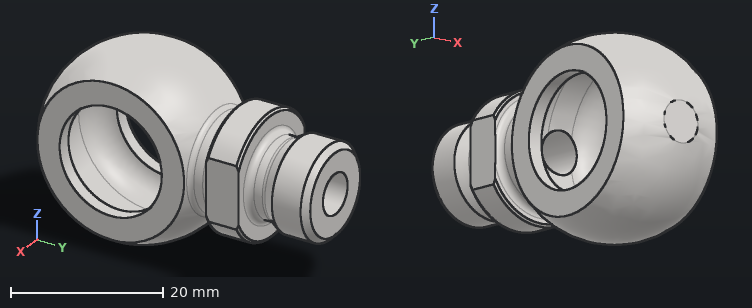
import cadquery as cq
import math

ball_diameter = 28.0
eye_width = 16.0
eye_bore_diameter = 16.0
tip_flat_diameter = 5.75

groove_diameter = 23.0
groove_width = 11.7
groove_floor_width = 4.0

overall_length = 43.7
passage_diameter = 6.0
plug_diameter = 14
plug_chamfer = 0.9
plug_length = 5.4
plug_back_angle = 30
relief_diameter = 11.7
collar_diameter = 18.55
collar_start = 9.95
collar_length = 5.1
collar_chamfer = 0.35
neck_diameter = 14.5
fillet_radius = 1.0

ball_radius = ball_diameter / 2
tip_y = -math.sqrt(ball_radius**2 - (tip_flat_diameter / 2) ** 2)
end_y = tip_y + overall_length


def make_stem():
    """Turned stem: plug, relief, flatted collar and neck, running into the ball."""
    plug_radius = plug_diameter / 2
    relief_radius = relief_diameter / 2
    collar_radius = collar_diameter / 2
    neck_radius = neck_diameter / 2

    plug_back_y = end_y - plug_length
    taper_length = (plug_radius - relief_radius) / math.tan(math.radians(plug_back_angle))
    relief_start_y = plug_back_y - taper_length
    blend = fillet_radius * math.tan(math.radians(plug_back_angle / 2))
    blend_dx = blend * math.sin(math.radians(plug_back_angle))
    blend_dy = blend * math.cos(math.radians(plug_back_angle))
    collar_front_y = end_y - collar_start
    collar_back_y = collar_front_y - collar_length
    fillet_center_x = neck_radius + fillet_radius
    center_distance = ball_radius + fillet_radius
    fillet_center_y = math.sqrt(center_distance**2 - fillet_center_x**2)
    ball_ratio = ball_radius / center_distance

    return (
        cq.Workplane("XY")
        .moveTo(0, end_y)
        .lineTo(plug_radius - plug_chamfer, end_y)
        .lineTo(plug_radius, end_y - plug_chamfer)
        .lineTo(plug_radius, plug_back_y)
        .lineTo(relief_radius + blend_dx, relief_start_y + blend_dy)
        .radiusArc((relief_radius, relief_start_y - blend), -fillet_radius)
        .lineTo(relief_radius, collar_front_y + fillet_radius)
        .radiusArc((relief_radius + fillet_radius, collar_front_y), -fillet_radius)
        .lineTo(collar_radius - collar_chamfer, collar_front_y)
        .lineTo(collar_radius, collar_front_y - collar_chamfer)
        .lineTo(collar_radius, collar_back_y + collar_chamfer)
        .lineTo(collar_radius - collar_chamfer, collar_back_y)
        .lineTo(neck_radius + fillet_radius, collar_back_y)
        .radiusArc((neck_radius, collar_back_y - fillet_radius), -fillet_radius)
        .lineTo(neck_radius, fillet_center_y)
        .radiusArc((fillet_center_x * ball_ratio, fillet_center_y * ball_ratio), -fillet_radius)
        .lineTo(0, 0)
        .close()
        .revolve(360, (0, 0, 0), (0, 1, 0))
    )


def make_bore_cutter():
    """Eye bore with its round-cornered internal groove."""
    bore_radius = eye_bore_diameter / 2
    groove_radius = groove_diameter / 2
    half_eye = eye_width / 2
    half_groove = groove_width / 2
    half_floor = groove_floor_width / 2
    corner_depth = groove_radius - bore_radius
    corner_width = half_groove - half_floor
    corner_radius = (corner_depth**2 + corner_width**2) / (2 * corner_depth)
    return (
        cq.Workplane("XY")
        .moveTo(-half_eye, 0)
        .lineTo(-half_eye, bore_radius)
        .lineTo(-half_groove, bore_radius)
        .radiusArc((-half_floor, groove_radius), corner_radius)
        .lineTo(half_floor, groove_radius)
        .radiusArc((half_groove, bore_radius), corner_radius)
        .lineTo(half_eye, bore_radius)
        .lineTo(half_eye, 0)
        .close()
        .revolve(360, (0, 0, 0), (1, 0, 0))
    )


envelope = cq.Workplane("XY").box(eye_width, overall_length, ball_diameter).translate(
    (0, tip_y + overall_length / 2, 0)
)

passage = cq.Workplane("XZ").circle(passage_diameter / 2).extrude(-end_y)

ball = cq.Workplane("XY").sphere(ball_radius)
body = ball.union(make_stem()).intersect(envelope)
result = body.cut(make_bore_cutter()).cut(passage)